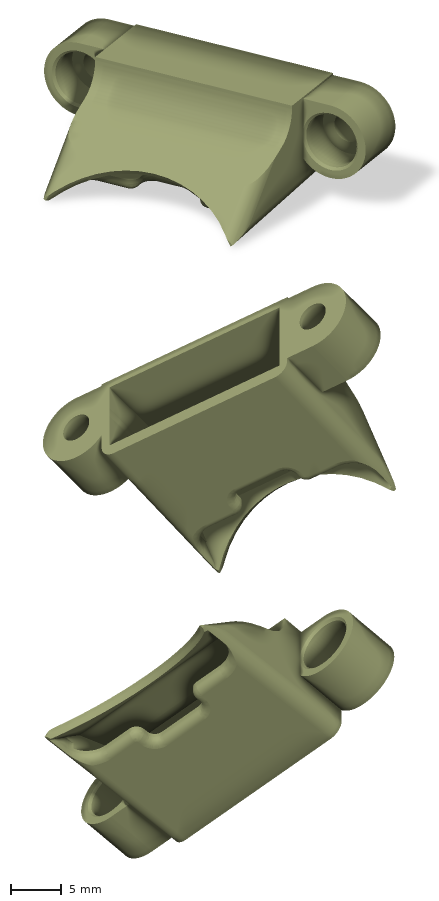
import cadquery as cq
import math

body_width = 22.15
total_height = 10.85
top_depth = 8.3
lip_height = 0.35
cove_radius = 3.62
upper_slope = 24.5
front_slope = 45.0
slope_break_y = -15.45
bottom_back_z = 0.87
bottom_slope = 2.9
edge_radius = 1.45
body_length = 19.5
wall = 0.9
floor_thickness = 1.3

bite_radius = 13.05
bite_top_y = -16.2
bite_height = 7.25
bite_depth = 3.62

opening_width = 20.65
floor_front_y = -13.95
floor_edge_radius = 0.85
floor_corner_radius = 2.7
notch_width = 6.88
notch_depth = 2.55
notch_corner_radius = 1.0

ear_spacing = 28.25
ear_radius = 4.0
ear_depth = 6.0
ear_top_gap = 0.2
screw_diameter = 3.1
counterbore_diameter = 5.7
counterbore_depth = 3.62
counterbore_chamfer = 0.25

upper_angle = math.radians(upper_slope)
bottom_fall = math.tan(math.radians(bottom_slope))
front_fall = math.tan(math.radians(front_slope))


def bottom_z(y):
    return bottom_back_z + y * bottom_fall


cove_top = (-top_depth, total_height - lip_height)
cove_center = (cove_top[0] - cove_radius, cove_top[1])


def on_cove(angle):
    return (
        cove_center[0] + cove_radius * math.cos(angle),
        cove_center[1] - cove_radius * math.sin(angle),
    )


cove_sweep = math.pi / 2 - upper_angle
cove_mid = on_cove(cove_sweep / 2)
cove_end = on_cove(cove_sweep)
slope_break = (
    slope_break_y,
    cove_end[1] - (cove_end[0] - slope_break_y) * math.tan(upper_angle),
)
nose_run = (slope_break[1] - bottom_z(slope_break_y)) / (front_fall - bottom_fall)
nose_y = slope_break_y - nose_run
nose = (nose_y, bottom_z(nose_y))


def side_profile():
    return (
        cq.Workplane("YZ")
        .moveTo(0, bottom_z(0))
        .lineTo(0, total_height)
        .lineTo(-top_depth, total_height)
        .lineTo(*cove_top)
        .threePointArc(cove_mid, cove_end)
        .lineTo(*slope_break)
        .lineTo(*nose)
        .close()
    )


def make_body():
    body = side_profile().extrude(body_width / 2, both=True)
    side_edges = cq.selectors.BoxSelector(
        (-body_width, nose_y - 0.35, nose[1] - 0.35),
        (body_width, 0.35, slope_break[1]),
    )
    long_edges = body.faces("<X or >X").edges(side_edges)
    return long_edges.edges("not #Y").fillet(edge_radius)


def make_cavity():
    """Room inside the walls, open at the back and, ahead of the floor, at the bottom."""
    cavity_width = body_width - 2 * wall
    room = side_profile().offset2D(-wall).extrude(cavity_width / 2, both=True)
    room = room.union(room.translate((0, wall, 0)))
    below = nose[1] - floor_thickness
    floor_block = (
        cq.Workplane("YZ")
        .polyline([
            (wall, below),
            (wall, bottom_z(wall) + floor_thickness),
            (nose_y, bottom_z(nose_y) + floor_thickness),
            (nose_y, below),
        ])
        .close()
        .extrude(body_width / 2, both=True)
    )
    return room.cut(floor_block)


def make_floor_opening():
    """Opening ahead of the floor, with a notch in the middle of its rear edge."""
    front_y = nose_y - wall
    half_opening = opening_width / 2
    half_notch = notch_width / 2
    notch_y = floor_front_y + notch_depth
    opening_bottom = nose[1] - wall
    opening_top = bottom_z(0) + floor_thickness
    opening = (
        cq.Workplane("XY", origin=(0, 0, opening_bottom))
        .polyline([
            (-half_opening, front_y),
            (half_opening, front_y),
            (half_opening, floor_front_y),
            (half_notch, floor_front_y),
            (half_notch, notch_y),
            (-half_notch, notch_y),
            (-half_notch, floor_front_y),
            (-half_opening, floor_front_y),
        ])
        .close()
        .extrude(opening_top - opening_bottom)
    )
    notch_zone = cq.selectors.BoxSelector(
        (-half_notch - 0.35, floor_front_y - 0.35, opening_bottom - 0.35),
        (half_notch + 0.35, notch_y + 0.35, opening_top + 0.35),
    )
    opening = opening.edges("|Z").edges(notch_zone).fillet(notch_corner_radius)
    for corner_zone in (">X", "<X"):
        outer_edges = opening.edges("|Z").edges(corner_zone)
        opening = outer_edges.edges(">Y").fillet(floor_corner_radius)
    inner_front = slope_break[1] - wall / math.cos(math.radians(front_slope))
    behind_front_wall = (
        cq.Workplane("YZ")
        .polyline([
            (slope_break_y, inner_front),
            (slope_break_y - 2 * nose_run, inner_front - 2 * nose_run * front_fall),
            (0, inner_front - 2 * nose_run * front_fall),
            (0, inner_front),
        ])
        .close()
        .extrude(body_width, both=True)
    )
    opening = opening.intersect(behind_front_wall)
    return opening


def make_rounded_underside():
    """Oversized block resting on the bottom plane, with the rim of the floor opening rounded."""
    front_y = nose_y - wall
    block = (
        cq.Workplane("YZ")
        .polyline([
            (0, bottom_z(0)),
            (0, total_height),
            (front_y, total_height),
            (front_y, bottom_z(front_y)),
        ])
        .close()
        .extrude(body_width, both=True)
        .cut(make_floor_opening())
    )
    rim_zone = cq.selectors.BoxSelector(
        (-opening_width / 2 - 0.35, front_y + 0.35, bottom_z(front_y) - 0.35),
        (opening_width / 2 + 0.35, floor_front_y + notch_depth + 0.35, bottom_back_z),
    )
    return block.faces("<Z").edges(rim_zone).fillet(floor_edge_radius)


def make_bite():
    """Cylinder square to the front face, its crest at bite_top_y on that face."""
    crest_z = slope_break[1] - (slope_break_y - bite_top_y) * front_fall
    slope_angle = math.radians(front_slope)
    center = (
        0,
        bite_top_y - bite_radius * math.cos(slope_angle),
        crest_z - bite_radius * math.sin(slope_angle),
    )
    outward = (0, -math.sin(slope_angle), math.cos(slope_angle))
    plane = cq.Plane(origin=center, xDir=(1, 0, 0), normal=outward)
    return (
        cq.Workplane(plane)
        .workplane(offset=-bite_depth)
        .circle(bite_radius)
        .extrude(bite_depth + bite_height)
    )


def make_tip_trim():
    """Block that blunts the two front tips at the full body length."""
    trim_length = -nose_y
    return cq.Workplane("XY").box(2 * body_width, trim_length, 2 * total_height).translate(
        (0, -body_length - trim_length / 2, 0)
    )


def make_ear(side):
    center_z = total_height - ear_top_gap - ear_radius
    center_x = side * ear_spacing / 2
    inner_x = side * (body_width / 2 - wall)
    face = cq.Workplane("XZ", origin=(center_x, 0, center_z))
    web_bottom = center_z - ear_radius if side < 0 else center_z
    web = (
        cq.Workplane("XZ")
        .moveTo(center_x, web_bottom)
        .lineTo(inner_x, web_bottom)
        .lineTo(inner_x, center_z + ear_radius)
        .lineTo(center_x, center_z + ear_radius)
        .close()
        .extrude(ear_depth)
    )
    return face.circle(ear_radius).extrude(ear_depth).union(web)


def cut_screw_hole(part, side):
    center_z = total_height - ear_top_gap - ear_radius
    center_x = side * ear_spacing / 2
    front = cq.Workplane("XZ", origin=(center_x, -ear_depth, center_z))
    bore_radius = counterbore_diameter / 2
    hole = front.circle(screw_diameter / 2).extrude(-ear_depth)
    counterbore = front.circle(bore_radius).extrude(-counterbore_depth)
    mouth = (
        front.circle(bore_radius + counterbore_chamfer)
        .workplane(offset=-counterbore_chamfer)
        .circle(bore_radius)
        .loft(combine=True)
    )
    return part.cut(hole).cut(counterbore).cut(mouth)


result = make_body().intersect(make_rounded_underside())
result = result.cut(make_cavity()).cut(make_bite()).cut(make_tip_trim())
for ear_side in (-1, 1):
    result = result.union(make_ear(ear_side))
for ear_side in (-1, 1):
    result = cut_screw_hole(result, ear_side)